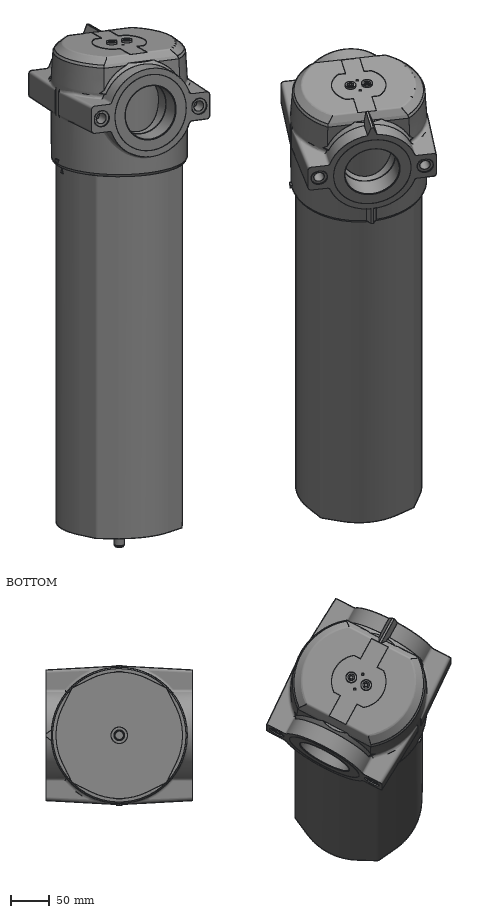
import cadquery as cq
import math


port_span = 192.0
bump_span_y = 183.0
total_height = 686.81
lid_top_z = 71.4
knob_height = 2.2
drain_length = 33.4
tube_bottom_z = lid_top_z + knob_height + drain_length - total_height
half_span = port_span / 2

tube_radius = 82.7
tube_arc_half_angle = 26.3
tube_corner_radius = 6.0

skirt_radius = 89.0
skirt_bottom_z = -87.0
skirt_top_z = 25.5
collar_height = 3.5
collar_inset = 1.8

lid_base_radius = 89.0
lid_shoulder_radius = 86.8
lid_shoulder_z = 59.5
lid_rim_radius = 84.7
lid_rim_z = 63.0
lid_top_radius = 74.5
lid_top_fillet = 4.0
lid_base_half_width = 70.0
lid_shoulder_half_width = 68.0
lid_rim_half_width = 66.0
lid_top_half_width = 59.0

panel_radius = 35.6
panel_half_width = 28.0
panel_strip_width = 24.6
panel_depth = 0.5

knob_diameter = 14.0
knob_recess_diameter = 8.5
knob_recess_depth = 1.2
knob_pin_diameter = 4.46
knob_offset_y = 11.0
pin_hole_diameter = 3.0
pin_hole_offset_x = 11.3
pin_hole_depth = 4.0

port_radius = 60.0
port_bore_diameter = 72.23
port_neck_x = 73.5
port_neck_flare = 5.0
port_neck_top_z = 62.0
port_face_diameter = 103.0
port_face_depth = 0.3
port_bore_chamfer = 1.2
port_bore_depth = 29.0
port_passage_diameter = 71.2
core_radius = 57.0

lug_end_half_width = 85.5
lug_mid_half_width = 90.5
lug_half_height = 18.5
lug_edge_fillet = 4.5
lug_gap = 10.0
root_fillet = 4.0
lug_root_angle = 55.0
bolt_offset_y = 70.5
bolt_hole_diameter = 14.0
bolt_counterbore_diameter = 21.5
bolt_counterbore_depth = 2.0
bolt_hole_depth = 22.0

rib_crest_width = 3.0
rib_base_width = 13.0
upper_rib_height = 12.0
lower_rib_height = 6.5
rib_bottom_z = -84.0
rib_inner_x = -52.0

mark_width = 7.0
mark_height = 6.5
mark_joint_gap = 3.0
tube_mark_height = 0.4
tube_mark_face = tube_radius + tube_mark_height

drain_sections = [
    (21.5, 3.5),
    (9.4, 2.5),
    (14.0, 2.0),
    (11.5, 1.5),
    (14.0, 5.0),
    (11.0, 1.5),
    (14.0, 4.0),
    (11.0, 1.5),
    (14.0, 9.5),
]
drain_tip_diameter = 11.0


def polar(radius, angle):
    """Point on a circle about the Z axis, angle in degrees from +X."""
    return (radius * math.cos(math.radians(angle)), radius * math.sin(math.radians(angle)))


def make_tube():
    corner_reach = tube_radius / math.cos(math.radians(45 - tube_arc_half_angle))
    outline = cq.Workplane("XY").workplane(offset=tube_bottom_z)
    outline = outline.moveTo(*polar(tube_radius, -tube_arc_half_angle))
    for side in range(4):
        middle = 90 * side
        outline = outline.threePointArc(
            polar(tube_radius, middle), polar(tube_radius, middle + tube_arc_half_angle)
        )
        outline = outline.lineTo(*polar(corner_reach, middle + 45))
        if side < 3:
            outline = outline.lineTo(*polar(tube_radius, middle + 90 - tube_arc_half_angle))
    tube = outline.close().extrude(skirt_bottom_z - tube_bottom_z)
    corner_x = corner_reach / math.sqrt(2)
    for sx in (-1, 1):
        for sy in (-1, 1):
            corner = (sx * corner_x, sy * corner_x, (tube_bottom_z + skirt_bottom_z) / 2)
            tube = tube.edges(cq.selectors.NearestToPointSelector(corner)).fillet(tube_corner_radius)
    return tube


def make_skirt():
    collar_top_z = skirt_bottom_z + collar_height
    return (
        cq.Workplane("XZ")
        .moveTo(0, skirt_bottom_z)
        .lineTo(skirt_radius - collar_inset, skirt_bottom_z)
        .lineTo(skirt_radius, collar_top_z)
        .lineTo(skirt_radius, skirt_top_z)
        .lineTo(0, skirt_top_z)
        .close()
        .revolve(360, (0, 0), (0, 1))
    )


def make_lid():
    dome = (
        cq.Workplane("XZ")
        .lineTo(lid_base_radius, 0)
        .lineTo(lid_base_radius, skirt_top_z)
        .lineTo(lid_shoulder_radius, lid_shoulder_z)
        .lineTo(lid_rim_radius, lid_rim_z)
        .lineTo(lid_top_radius, lid_top_z)
        .lineTo(0, lid_top_z)
        .close()
        .revolve(360, (0, 0), (0, 1))
    )
    side_limits = (
        cq.Workplane("XZ")
        .moveTo(-lid_base_half_width, 0)
        .lineTo(-lid_base_half_width, skirt_top_z)
        .lineTo(-lid_shoulder_half_width, lid_shoulder_z)
        .lineTo(-lid_rim_half_width, lid_rim_z)
        .lineTo(-lid_top_half_width, lid_top_z)
        .lineTo(lid_top_half_width, lid_top_z)
        .lineTo(lid_rim_half_width, lid_rim_z)
        .lineTo(lid_shoulder_half_width, lid_shoulder_z)
        .lineTo(lid_base_half_width, skirt_top_z)
        .lineTo(lid_base_half_width, 0)
        .close()
        .extrude(skirt_radius, both=True)
    )
    lid = dome.intersect(side_limits)
    return lid.faces(">Z").edges().fillet(lid_top_fillet)


def make_lug(side):
    """Plate tapering toward both port faces on one Y side, split by a gap at X = 0."""
    half_gap = lug_gap / 2
    plate = (
        cq.Workplane("XY")
        .workplane(offset=-lug_half_height)
        .moveTo(-half_span, 0)
        .lineTo(-half_span, side * lug_end_half_width)
        .lineTo(-half_gap, side * lug_mid_half_width)
        .lineTo(half_gap, side * lug_mid_half_width)
        .lineTo(half_span, side * lug_end_half_width)
        .lineTo(half_span, 0)
        .close()
        .extrude(2 * lug_half_height)
    )
    gap_cutter = cq.Workplane("XY").box(lug_gap, 2 * bump_span_y, 2 * port_span)
    plate = plate.cut(gap_cutter)
    edge_y = side * (lug_end_half_width + lug_mid_half_width) / 2
    for sx in (-1, 1):
        for sz in (-1, 1):
            middle = (sx * half_span / 2, edge_y, sz * lug_half_height)
            plate = plate.edges(cq.selectors.NearestToPointSelector(middle)).fillet(lug_edge_fillet)
    return plate


def make_ports():
    return (
        cq.Workplane("YZ")
        .workplane(offset=-half_span)
        .circle(port_radius)
        .extrude(port_span)
    )


def make_head():
    head = make_skirt().union(make_lid()).union(make_ports())
    return head.union(make_lug(-1)).union(make_lug(1))


def round_roots(head):
    """Fillet where the ports and lugs grow out of the skirt, and where each lug meets a port."""
    lug_skirt_x, lug_skirt_y = polar(skirt_radius, lug_root_angle)
    lug_port_y = math.sqrt(port_radius**2 - lug_half_height**2)
    lug_port_x = (math.sqrt(skirt_radius**2 - lug_port_y**2) + half_span) / 2
    _, port_skirt_y = polar(port_radius, 45)
    port_skirt_x = math.sqrt(skirt_radius**2 - port_skirt_y**2)
    roots = [
        (port_skirt_x, port_skirt_y, -port_skirt_y),
        (lug_skirt_x, lug_skirt_y, -lug_half_height),
        (lug_skirt_x, lug_skirt_y, lug_half_height),
        (lug_port_x, lug_port_y, -lug_half_height),
        (lug_port_x, lug_port_y, lug_half_height),
    ]
    edges = []
    for x, y, z in roots:
        for sx in (-1, 1):
            for sy in (-1, 1):
                selector = cq.selectors.NearestToPointSelector((sx * x, sy * y, z))
                edges.extend(head.edges(selector).vals())
    return head.newObject(edges).fillet(root_fillet)


def make_port_bores():
    """Both port bores, ending on the convex wall of a vertical core."""
    bores = None
    for sx in (-1, 1):
        face = cq.Workplane("YZ").workplane(offset=sx * half_span)
        bore = face.circle(port_bore_diameter / 2).extrude(-sx * port_bore_depth)
        passage = face.circle(port_passage_diameter / 2).extrude(-sx * half_span)
        countersink = (
            face.circle(port_bore_diameter / 2 + port_bore_chamfer)
            .workplane(offset=-sx * port_bore_chamfer)
            .circle(port_bore_diameter / 2)
            .loft()
        )
        seat = face.circle(port_face_diameter / 2).extrude(-sx * port_face_depth)
        port_cut = bore.union(passage).union(countersink).union(seat)
        bores = port_cut if bores is None else bores.union(port_cut)
    core = cq.Workplane("XY").circle(core_radius).extrude(port_bore_diameter, both=True)
    return bores.cut(core)


def make_port_necks():
    """Conical flares where the upper halves of the ports run into the flat sides of the lid."""
    flare_root_x = lid_rim_half_width
    root_radius = port_radius + port_neck_flare
    double_cone = (
        cq.Workplane("XY")
        .moveTo(-port_neck_x, 0)
        .lineTo(-port_neck_x, port_radius)
        .lineTo(-flare_root_x, root_radius)
        .lineTo(flare_root_x, root_radius)
        .lineTo(port_neck_x, port_radius)
        .lineTo(port_neck_x, 0)
        .close()
        .revolve(360, (0, 0), (1, 0))
    )
    lid_zone = (
        cq.Workplane("XY")
        .workplane(offset=skirt_top_z)
        .rect(port_span, 2 * port_radius)
        .extrude(port_neck_top_z - skirt_top_z)
    )
    return double_cone.intersect(lid_zone)


def make_bolt_holes():
    """Counterbored flange bolt holes in both ends of both lugs."""
    centres = [(-bolt_offset_y, 0), (bolt_offset_y, 0)]
    holes = cq.Workplane("XY")
    for sx in (-1, 1):
        face = cq.Workplane("YZ").workplane(offset=sx * half_span).pushPoints(centres)
        holes = holes.add(face.circle(bolt_hole_diameter / 2).extrude(-sx * bolt_hole_depth))
        holes = holes.add(face.circle(bolt_counterbore_diameter / 2).extrude(-sx * bolt_counterbore_depth))
    return holes.combine()


def make_upper_rib():
    """Rib along X from the port face to the lid."""
    return (
        cq.Workplane("YZ")
        .workplane(offset=-half_span)
        .moveTo(-rib_base_width / 2, 0)
        .lineTo(-rib_base_width / 2, lid_top_z - upper_rib_height)
        .lineTo(-rib_crest_width / 2, lid_top_z)
        .lineTo(rib_crest_width / 2, lid_top_z)
        .lineTo(rib_base_width / 2, lid_top_z - upper_rib_height)
        .lineTo(rib_base_width / 2, 0)
        .close()
        .extrude(rib_inner_x + half_span)
    )


def make_lower_rib():
    """Rib down the skirt below the port."""
    return (
        cq.Workplane("XY")
        .workplane(offset=rib_bottom_z)
        .moveTo(rib_inner_x, -rib_base_width / 2)
        .lineTo(-half_span + lower_rib_height, -rib_base_width / 2)
        .lineTo(-half_span, -rib_crest_width / 2)
        .lineTo(-half_span, rib_crest_width / 2)
        .lineTo(-half_span + lower_rib_height, rib_base_width / 2)
        .lineTo(rib_inner_x, rib_base_width / 2)
        .close()
        .extrude(-rib_bottom_z)
    )


def make_inlet_rib():
    """Upper and lower ribs, kept out of the port opening."""
    opening = cq.Workplane("YZ").workplane(offset=-half_span).circle(port_radius)
    return make_upper_rib().union(make_lower_rib()).cut(opening.extrude(port_span))


def make_panel_recess():
    floor = cq.Workplane("XY").workplane(offset=lid_top_z - panel_depth)
    disc = floor.circle(panel_radius).extrude(panel_depth)
    disc = disc.intersect(floor.rect(2 * panel_half_width, 2 * panel_radius).extrude(panel_depth))
    strip = floor.rect(2 * lid_top_half_width, panel_strip_width).extrude(panel_depth)
    return disc.union(strip)


def make_knobs():
    """Indicator knobs, each with a pin standing in its ring-shaped recess."""
    floor_z = lid_top_z - panel_depth
    knob_top_z = lid_top_z + knob_height
    places = [(0, -knob_offset_y), (0, knob_offset_y)]
    base = cq.Workplane("XY").workplane(offset=floor_z).pushPoints(places)
    knobs = base.circle(knob_diameter / 2).extrude(knob_top_z - floor_z)
    recess = (
        cq.Workplane("XY")
        .workplane(offset=knob_top_z - knob_recess_depth)
        .pushPoints(places)
        .circle(knob_recess_diameter / 2)
        .circle(knob_pin_diameter / 2)
        .extrude(knob_recess_depth)
    )
    return knobs.cut(recess)


def make_pin_holes():
    return (
        cq.Workplane("XY")
        .workplane(offset=lid_top_z)
        .pushPoints([(-pin_hole_offset_x, 0), (pin_hole_offset_x, 0)])
        .circle(pin_hole_diameter / 2)
        .extrude(-pin_hole_depth)
    )


def make_mark(base_z, tip_z, face_y, side):
    """Triangular alignment pad standing out to face_y on one Y side."""
    return (
        cq.Workplane("XZ")
        .moveTo(-mark_width / 2, base_z)
        .lineTo(mark_width / 2, base_z)
        .lineTo(0, tip_z)
        .close()
        .extrude(-side * face_y)
    )


def make_marks():
    marks = cq.Workplane("XY")
    skirt_tip_z = skirt_bottom_z + collar_height
    tube_tip_z = skirt_bottom_z - mark_joint_gap
    for side in (-1, 1):
        marks = marks.add(make_mark(skirt_tip_z + mark_height, skirt_tip_z, bump_span_y / 2, side))
        marks = marks.add(make_mark(tube_tip_z - mark_height, tube_tip_z, tube_mark_face, side))
    return marks.combine()


def make_drain():
    """Turned drain fitting below the bowl: flange, neck, grooved body and tip."""
    z = tube_bottom_z
    outline = cq.Workplane("XZ").moveTo(0, z)
    for diameter, length in drain_sections:
        outline = outline.lineTo(diameter / 2, z)
        z -= length
        outline = outline.lineTo(diameter / 2, z)
    drain_end_z = tube_bottom_z - drain_length
    outline = outline.lineTo(drain_tip_diameter / 2, z)
    outline = outline.lineTo(drain_tip_diameter / 2, drain_end_z)
    return outline.lineTo(0, drain_end_z).close().revolve(360, (0, 0), (0, 1))


body = round_roots(make_head()).union(make_port_necks()).union(make_tube())
body = body.union(make_inlet_rib()).union(make_marks()).union(make_drain())
body = body.cut(make_port_bores()).cut(make_bolt_holes())
body = body.cut(make_panel_recess()).cut(make_pin_holes())
result = body.union(make_knobs())